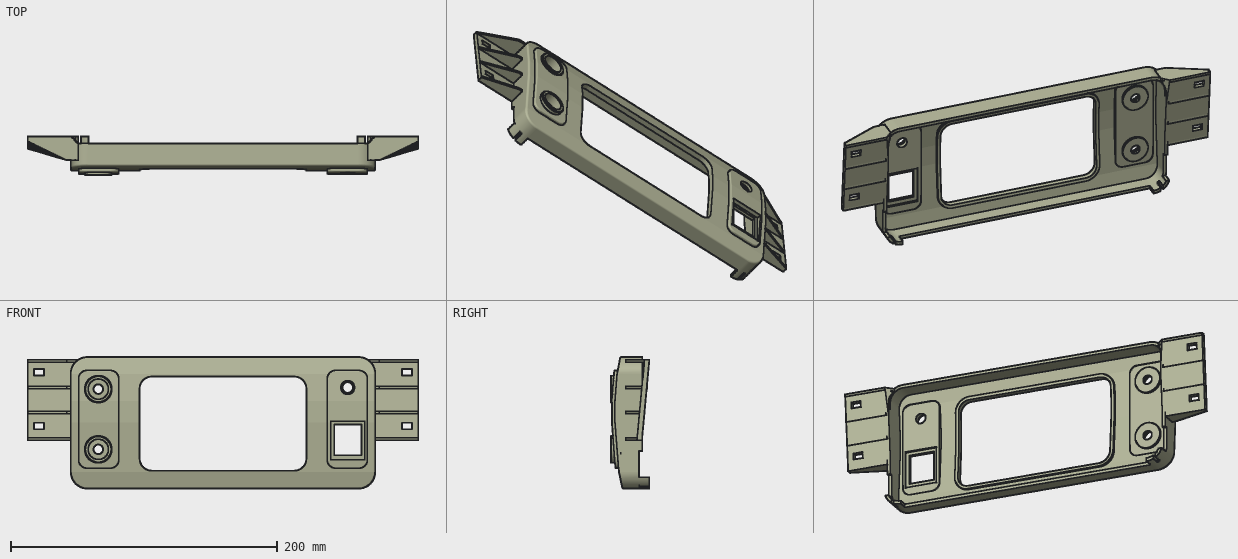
import cadquery as cq

FRAME_WIDTH = 228.6
FRAME_HEIGHT = 98.93
CORNER_RADIUS = 12.7
WALL = 2.54
HALF_WIDTH = FRAME_WIDTH / 2
HALF_HEIGHT = FRAME_HEIGHT / 2
CORNER_CENTER_Z = HALF_HEIGHT - CORNER_RADIUS
BACK_DEPTH = 5.3
LOW_BACK_DEPTH = 7.8
LOW_BACK_TOP_Z = -21.3
FRONT_EDGE_RADIUS = 1.5

FLAT_TOP_Z = 16.5
FLAT_BOTTOM_Z = 0.4
FLAT_DEPTH = 25.9
UPPER_BEND_DEPTH = 24.3
LOWER_BEND_DEPTH = 23.0
TOP_DEPTH = 22.0
BOTTOM_DEPTH = 20.3
FACE_BENDS = [
    (HALF_HEIGHT, TOP_DEPTH),
    (CORNER_CENTER_Z, UPPER_BEND_DEPTH),
    (FLAT_TOP_Z, FLAT_DEPTH),
    (FLAT_BOTTOM_Z, FLAT_DEPTH),
    (-CORNER_CENTER_Z, LOWER_BEND_DEPTH),
    (-HALF_HEIGHT, BOTTOM_DEPTH),
]

WINDOW_WIDTH = 125.0
WINDOW_TOP_Z = 34.6
WINDOW_BOTTOM_Z = -35.8
WINDOW_RADIUS = 8.9
WINDOW_RIM_DEPTH = 4.6

POD_X = 93.3
POD_Z = 2.65
POD_WIDTH = 30.2
POD_HEIGHT = 73.4
POD_RADIUS = 6.35
POD_RISE = 2.4
POD_BACK_DEPTH = 20.5
UPPER_SLOPE = (FLAT_DEPTH - UPPER_BEND_DEPTH) / (CORNER_CENTER_Z - FLAT_TOP_Z)
POD_TOP_DEPTH = FLAT_DEPTH - UPPER_SLOPE * (HALF_HEIGHT - FLAT_TOP_Z)
POD_BENDS = [(HALF_HEIGHT, POD_TOP_DEPTH)] + FACE_BENDS[2:]
POD_EDGE_RADIUS = 0.9

TOTAL_DEPTH = 29.21
KNOB_X = -93.6
KNOB_Z = [25.3, -19.9]
RING_DIAMETER = 20.32
RING_FRONT_DIAMETER = 19.3
RING_CHAMFER = (RING_DIAMETER - RING_FRONT_DIAMETER) / 2
CUP_DIAMETER = 15.24
CUP_DEPTH = 8.0
SHAFT_DIAMETER = 6.99

JACK_X = 93.6
JACK_Z = 26.5
JACK_DIAMETER = 7.87
JACK_RECESS_DIAMETER = 10.29
JACK_STEP_DEPTH = 24.5
SWITCH_X = 93.7
SWITCH_Z = -13.2
SWITCH_WIDTH = 25.6
SWITCH_HEIGHT = 29.1
SWITCH_FRONT_DEPTH = 24.8
SWITCH_THICKNESS = WALL
OPENING_WIDTH = 20.32
OPENING_HEIGHT = 23.0
OPENING_Z = -12.8

OVERALL_WIDTH = 293.37
WING_TIP_X = OVERALL_WIDTH / 2
WING_TOP_Z = 47.4
WING_BOTTOM_Z = -13.1
WING_THICKNESS = 3.81
WING_BOTTOM_BACK = 5.6
RIB_THICKNESS = 2.0
RIB_TOPS = [WING_TOP_Z, 27.5, 8.8, WING_BOTTOM_Z + RIB_THICKNESS]
RIB_DEPTH = 17.9
RIB_SHOULDER_X = 117.4
WING_BEVEL_X = 113.9
WING_ROOT_X = 108.6
SLOT_X = 138.1
SLOT_Z = [37.9, -2.3]
SLOT_WIDTH = 7.5
SLOT_HEIGHT = 4.7

LIP_TOP_Z = -40.7
LIP_END_X = 100.9
LIP_SLIT_X = 107.6
LIP_SLIT_WIDTH = 1.8


def block(x0, x1, depth0, depth1, z0, z1):
    """Box between two X, two depths and two Z."""
    size = (x1 - x0, depth1 - depth0, z1 - z0)
    return cq.Workplane("XY").box(*size, centered=False).translate((x0, -depth1, z0))


def centered_block(x, z, width, height, depth0, depth1):
    """Box centered on X and Z, between two depths."""
    return block(x - width / 2, x + width / 2, depth0, depth1, z - height / 2, z + height / 2)


def rounded_prism(x, z, width, height, radius, depth0, depth1):
    """Rounded rectangle in XZ, running between two depths."""
    prism = cq.Workplane("XZ", origin=(x, -depth0, z)).rect(width, height).extrude(depth1 - depth0)
    return prism.edges("|Y").fillet(radius)


def cylinder(x, z, diameter, depth0, depth1):
    return cq.Workplane("XZ", origin=(x, -depth0, z)).circle(diameter / 2).extrude(depth1 - depth0)


def face_prism(bends, rise=0):
    """Everything behind a bent front face moved forward by rise, across the whole width."""
    points = [(-depth - rise, z) for z, depth in bends]
    outline = [(0, HALF_HEIGHT)] + points + [(0, -HALF_HEIGHT)]
    return cq.Workplane("YZ").polyline(outline).close().extrude(HALF_WIDTH, both=True)


def fillet_front(body, radius):
    """Round the front rim: the edges between the bent face and the walls around it."""
    rim = body.faces("|X or |Z or %CYLINDER").edges("not(|Y or >Y)")
    return rim.fillet(radius)


def mirrored_pair(shape):
    return shape.union(shape.mirror("YZ"))


def outer_prism(depth0):
    return rounded_prism(0, 0, FRAME_WIDTH, FRAME_HEIGHT, CORNER_RADIUS, depth0, TOTAL_DEPTH)


def cavity():
    """Hollow behind the face, open at the back."""
    inner = rounded_prism(
        0, 0, FRAME_WIDTH - 2 * WALL, FRAME_HEIGHT - 2 * WALL, CORNER_RADIUS - WALL, 0, TOTAL_DEPTH
    )
    return inner.intersect(face_prism(FACE_BENDS, -WALL))


def shell():
    body = face_prism(FACE_BENDS).intersect(outer_prism(BACK_DEPTH))
    body = fillet_front(body, FRONT_EDGE_RADIUS)
    low_cut = block(-HALF_WIDTH, HALF_WIDTH, 0, LOW_BACK_DEPTH, -HALF_HEIGHT, LOW_BACK_TOP_Z)
    return body.cut(low_cut)


def pod(x):
    """Raised pad whose front follows the bent face."""
    prism = rounded_prism(x, POD_Z, POD_WIDTH, POD_HEIGHT, POD_RADIUS, POD_BACK_DEPTH, TOTAL_DEPTH)
    return fillet_front(prism.intersect(face_prism(POD_BENDS, POD_RISE)), POD_EDGE_RADIUS)


def wing_back(z):
    """Depth of the tilted plate's back at height z."""
    return WING_BOTTOM_BACK * (WING_TOP_Z - z) / (WING_TOP_Z - WING_BOTTOM_Z)


def wing_plate():
    """Tilted plate whose inner back corner is bevelled into the frame's side."""
    profile = [
        (0, WING_TOP_Z),
        (-WING_THICKNESS, WING_TOP_Z),
        (-WING_THICKNESS - WING_BOTTOM_BACK, WING_BOTTOM_Z),
        (-WING_BOTTOM_BACK, WING_BOTTOM_Z),
    ]
    plate = cq.Workplane("YZ", origin=(WING_ROOT_X, 0, 0)).polyline(profile).close()
    plate = plate.extrude(WING_TIP_X - WING_ROOT_X)
    corner = [(WING_BEVEL_X, 0), (WING_ROOT_X, 0), (WING_ROOT_X, -BACK_DEPTH)]
    bevel = cq.Workplane("XY", origin=(0, 0, WING_BOTTOM_Z)).polyline(corner).close()
    return plate.cut(bevel.extrude(WING_TOP_Z - WING_BOTTOM_Z))


def wing_rib(top):
    """Rib tapering from the frame's side to the plate's tip."""
    back = wing_back(top)
    outline = [
        (WING_TIP_X, -back),
        (WING_BEVEL_X, -back),
        (WING_ROOT_X, -max(back, BACK_DEPTH)),
        (WING_ROOT_X, -RIB_DEPTH),
        (RIB_SHOULDER_X, -RIB_DEPTH),
        (WING_TIP_X, -back - WING_THICKNESS),
    ]
    rib = cq.Workplane("XY", origin=(0, 0, top - RIB_THICKNESS)).polyline(outline).close()
    return rib.extrude(RIB_THICKNESS)


def wing():
    """Right-hand wing: plate, ribs and mounting slots."""
    body = wing_plate()
    for top in RIB_TOPS:
        body = body.union(wing_rib(top))
    for z in SLOT_Z:
        body = body.cut(centered_block(SLOT_X, z, SLOT_WIDTH, SLOT_HEIGHT, 0, RIB_DEPTH))
    return body


def lip():
    """Right-hand bottom corner of the frame carried to the back plane, with a slit."""
    outer = outer_prism(0)
    region = block(LIP_END_X, HALF_WIDTH, 0, LOW_BACK_DEPTH, -HALF_HEIGHT, LIP_TOP_Z)
    slit_z = (LIP_TOP_Z - HALF_HEIGHT) / 2
    slit_height = LIP_TOP_Z + HALF_HEIGHT
    slit = centered_block(LIP_SLIT_X, slit_z, LIP_SLIT_WIDTH, slit_height, 0, LOW_BACK_DEPTH)
    return outer.intersect(region).cut(slit)


def window_prism(margin):
    """Window outline grown by margin on every side."""
    height = WINDOW_TOP_Z - WINDOW_BOTTOM_Z
    center_z = (WINDOW_TOP_Z + WINDOW_BOTTOM_Z) / 2
    return rounded_prism(
        0, center_z, WINDOW_WIDTH + 2 * margin, height + 2 * margin, WINDOW_RADIUS + margin, 0, TOTAL_DEPTH
    )


def window_rim():
    """Thickened border behind the face around the window."""
    band = face_prism(FACE_BENDS).cut(face_prism(FACE_BENDS, -WINDOW_RIM_DEPTH))
    return band.intersect(window_prism(WALL))


def knob_ring(z):
    """Solid boss for a knob cup, chamfered at its front."""
    ring = cylinder(KNOB_X, z, RING_DIAMETER, TOTAL_DEPTH - CUP_DEPTH - WALL, TOTAL_DEPTH)
    return ring.faces("<Y").chamfer(RING_CHAMFER)


def knob_bore(z):
    """Cup for a knob and the hole for its shaft."""
    cup = cylinder(KNOB_X, z, CUP_DIAMETER, TOTAL_DEPTH - CUP_DEPTH, TOTAL_DEPTH)
    return cup.union(cylinder(KNOB_X, z, SHAFT_DIAMETER, 0, TOTAL_DEPTH))


def jack_bore():
    """Stepped hole for the jack."""
    hole = cylinder(JACK_X, JACK_Z, JACK_DIAMETER, 0, TOTAL_DEPTH)
    return hole.union(cylinder(JACK_X, JACK_Z, JACK_RECESS_DIAMETER, JACK_STEP_DEPTH, TOTAL_DEPTH))


def make_frame():
    body = shell().union(mirrored_pair(wing())).union(mirrored_pair(lip())).cut(cavity())
    body = body.union(window_rim()).cut(window_prism(0))
    for x in (-POD_X, POD_X):
        body = body.union(pod(x))
    for z in KNOB_Z:
        body = body.union(knob_ring(z)).cut(knob_bore(z))
    body = body.cut(jack_bore())
    return body.cut(centered_block(SWITCH_X, SWITCH_Z, SWITCH_WIDTH, SWITCH_HEIGHT, 0, TOTAL_DEPTH))


def make_switch_plate():
    """Plate with a rectangular opening, set back in the cutout of the right pod."""
    back = SWITCH_FRONT_DEPTH - SWITCH_THICKNESS
    plate = centered_block(SWITCH_X, SWITCH_Z, SWITCH_WIDTH, SWITCH_HEIGHT, back, SWITCH_FRONT_DEPTH)
    opening = centered_block(SWITCH_X, OPENING_Z, OPENING_WIDTH, OPENING_HEIGHT, back, SWITCH_FRONT_DEPTH)
    return plate.cut(opening)


frame = make_frame()
switch_plate = make_switch_plate()
result = cq.Compound.makeCompound([frame.val(), switch_plate.val()])